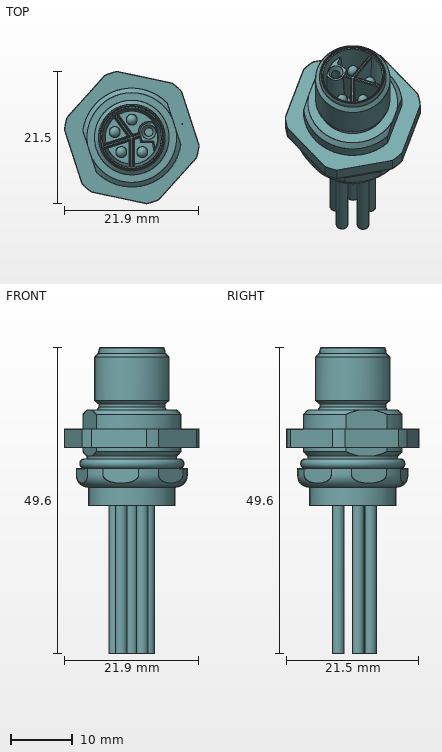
import cadquery as cq
import math

Z_TOP = 25.6
Z_FLANGE_BOTTOM = 2.95
Z_FLANGE_TOP = 6.0
Z_SEAL_TOP = 7.55
Z_BODY_BOTTOM = 8.0
Z_NUT_BOTTOM = 9.4
Z_NUT_TOP = 12.4
Z_SHOULDER = 15.5

PLUG_RADIUS = 6.05
PLUG_NOSE_RADIUS = 5.4
PLUG_RIM_RADIUS = 5.18
PLUG_RIM_STEP_RADIUS = 5.35
PLUG_RIM_STEP = 0.46
PLUG_NOSE_STEP = 0.92
PLUG_CHAMFER_END = 1.55
PLUG_LENGTH = 8.55
UNDERCUT_TOP = 9.15
UNDERCUT_RADIUS = 5.35
UNDERCUT_FLARE_TOP = 9.65
UNDERCUT_FOOT_RADIUS = 5.6

BODY_RADIUS = 8.02
BODY_CHAMFER = 0.75
NECK_RADIUS = BODY_RADIUS - BODY_CHAMFER
BODY_FLAT_DISTANCE = 7.2
SLEEVE_RADIUS = 7.0

HEX_ANGLE = 18.0
HEX_HALF_ANGLE = 30.0
NUT_FLAT_DISTANCE = 10.0
NUT_CORNER_RADIUS = 11.0
FLANGE_FLAT_DISTANCE = 8.5
FLANGE_RADIUS = 9.0
FLANGE_FILLET = 2.0

SEAL_RADIUS = 8.45
SEAL_ROUNDING = 0.76

RIM_INNER_RADIUS = 5.03
RIM_DEPTH = 0.27
MOUTH_RADIUS = 4.8
MOUTH_DEPTH = 0.95
SOCKET_FLOOR_RADIUS = 4.3
SOCKET_DEPTH = 8.0
Z_FLOOR = Z_TOP - SOCKET_DEPTH
Z_INSERT = Z_TOP - MOUTH_DEPTH
INSERT_HEIGHT = Z_INSERT - Z_FLOOR
RIB_BASE_WIDTH = 0.85
RIB_EDGE_WIDTH = 0.55
RIB_TOP_WIDTH = 0.25
RIB_BEVEL_HEIGHT = 0.15
RIB_LENGTH = 5.0
RIB_ANGLES = (126.0, 198.0, 270.0)

CONTACT_COUNT = 5
CONTACT_CIRCLE_RADIUS = 2.9
PIN_RADIUS = 0.88
PIN_TIP_DEPTH = 3.5
WIRE_RADIUS = 0.95
WIRE_LENGTH = 24.0

GUIDE_RADIUS = 1.7
GUIDE_ARC_MIDDLE_ANGLE = 135.0
GUIDE_DRAFT = 2.0
GUIDE_OUTER_RADIUS = 4.2
GUIDE_LOWER_Y = -2.2
GUIDE_NOTCH_X = 3.6
GUIDE_STEP_X = 3.35
GUIDE_INNER_X = 1.45
EARTH_HOLE_RADIUS = 0.7
FUNNEL_RADIUS = 1.15
FUNNEL_DEPTH = 0.8


def polar(radius, angle):
    a = math.radians(angle)
    return radius * math.cos(a), radius * math.sin(a)


def disc(radius, z_bottom, z_top):
    return cq.Workplane("XY").workplane(offset=z_bottom).circle(radius).extrude(z_top - z_bottom)


def hexagon(flat_distance, z_bottom, z_top):
    corner_diameter = 2 * flat_distance / math.cos(math.radians(HEX_HALF_ANGLE))
    prism = cq.Workplane("XY").polygon(6, corner_diameter).extrude(z_top - z_bottom)
    return prism.rotate((0, 0, 0), (0, 0, 1), HEX_ANGLE - HEX_HALF_ANGLE).translate((0, 0, z_bottom))


def plug():
    profile = [
        (0, Z_SHOULDER),
        (UNDERCUT_FOOT_RADIUS, Z_SHOULDER),
        (UNDERCUT_RADIUS, Z_TOP - UNDERCUT_FLARE_TOP),
        (UNDERCUT_RADIUS, Z_TOP - UNDERCUT_TOP),
        (PLUG_RADIUS, Z_TOP - PLUG_LENGTH),
        (PLUG_RADIUS, Z_TOP - PLUG_CHAMFER_END),
        (PLUG_NOSE_RADIUS, Z_TOP - PLUG_NOSE_STEP),
        (PLUG_RIM_STEP_RADIUS, Z_TOP - PLUG_RIM_STEP),
        (PLUG_RIM_RADIUS, Z_TOP),
        (0, Z_TOP),
    ]
    return cq.Workplane("XZ").polyline(profile).close().revolve(360, (0, 0, 0), (0, 1, 0))


def body():
    thread = disc(BODY_RADIUS, Z_BODY_BOTTOM, Z_SHOULDER).faces("<Z or >Z").chamfer(BODY_CHAMFER)
    height = Z_SHOULDER - Z_BODY_BOTTOM
    flats = (
        cq.Workplane("XY")
        .rect(2 * BODY_FLAT_DISTANCE, 3 * BODY_RADIUS)
        .extrude(height)
        .rotate((0, 0, 0), (0, 0, 1), HEX_ANGLE)
        .translate((0, 0, Z_BODY_BOTTOM))
    )
    neck = disc(NECK_RADIUS, Z_FLANGE_TOP, Z_BODY_BOTTOM)
    sleeve = disc(SLEEVE_RADIUS, 0, Z_FLANGE_BOTTOM)
    return thread.intersect(flats).union(neck).union(sleeve)


def nut():
    corners = disc(NUT_CORNER_RADIUS, Z_NUT_BOTTOM, Z_NUT_TOP)
    return hexagon(NUT_FLAT_DISTANCE, Z_NUT_BOTTOM, Z_NUT_TOP).intersect(corners)


def flange():
    blank = disc(FLANGE_RADIUS, Z_FLANGE_BOTTOM, Z_FLANGE_TOP).faces("<Z").edges().fillet(FLANGE_FILLET)
    return blank.intersect(hexagon(FLANGE_FLAT_DISTANCE, Z_FLANGE_BOTTOM, Z_FLANGE_TOP))


def seal():
    return disc(SEAL_RADIUS, Z_FLANGE_TOP, Z_SEAL_TOP).edges().fillet(SEAL_ROUNDING)


def socket():
    rim = disc(RIM_INNER_RADIUS, Z_TOP - RIM_DEPTH, Z_TOP)
    mouth = disc(MOUTH_RADIUS, Z_INSERT, Z_TOP)
    return insert_space().union(mouth).union(rim)


def insert_space():
    profile = [
        (0, Z_FLOOR),
        (SOCKET_FLOOR_RADIUS, Z_FLOOR),
        (MOUTH_RADIUS, Z_INSERT),
        (0, Z_INSERT),
    ]
    return cq.Workplane("XZ").polyline(profile).close().revolve(360, (0, 0, 0), (0, 1, 0))


def rib(angle, length):
    section = [
        (-RIB_BASE_WIDTH / 2, Z_FLOOR),
        (RIB_BASE_WIDTH / 2, Z_FLOOR),
        (RIB_EDGE_WIDTH / 2, Z_INSERT - RIB_BEVEL_HEIGHT),
        (RIB_TOP_WIDTH / 2, Z_INSERT),
        (-RIB_TOP_WIDTH / 2, Z_INSERT),
        (-RIB_EDGE_WIDTH / 2, Z_INSERT - RIB_BEVEL_HEIGHT),
    ]
    straight = cq.Workplane("YZ").polyline(section).close().extrude(length)
    return straight.rotate((0, 0, 0), (0, 0, 1), angle)


def earth_guide():
    x, y = polar(CONTACT_CIRCLE_RADIUS, HEX_ANGLE)
    outer_x = MOUTH_RADIUS + GUIDE_RADIUS
    arc_start = (x - GUIDE_RADIUS, y)
    arc_middle = polar(GUIDE_RADIUS, GUIDE_ARC_MIDDLE_ANGLE)
    outline = (
        cq.Workplane("XY")
        .workplane(offset=Z_FLOOR)
        .moveTo(*arc_start)
        .threePointArc((x + arc_middle[0], y + arc_middle[1]), (x, y + GUIDE_RADIUS))
        .lineTo(outer_x, y + GUIDE_RADIUS)
        .lineTo(outer_x, GUIDE_LOWER_Y)
        .lineTo(GUIDE_NOTCH_X, GUIDE_LOWER_Y)
        .lineTo(GUIDE_STEP_X, y - GUIDE_RADIUS)
        .lineTo(GUIDE_INNER_X, y - GUIDE_RADIUS)
        .close()
    )
    block = outline.extrude(INSERT_HEIGHT, taper=GUIDE_DRAFT)
    block = block.intersect(disc(GUIDE_OUTER_RADIUS, Z_FLOOR, Z_INSERT))
    hole = disc(EARTH_HOLE_RADIUS, Z_FLOOR, Z_INSERT)
    funnel = cq.Workplane(cq.Solid.makeCone(
        EARTH_HOLE_RADIUS, FUNNEL_RADIUS, FUNNEL_DEPTH, cq.Vector(0, 0, Z_INSERT - FUNNEL_DEPTH)
    ))
    return block, hole.union(funnel).translate((x, y, 0))


def insert():
    block, hole = earth_guide()
    walls = block.union(rib(HEX_ANGLE, CONTACT_CIRCLE_RADIUS))
    for angle in RIB_ANGLES:
        walls = walls.union(rib(angle, RIB_LENGTH))
    return walls.cut(hole).intersect(insert_space())


def pin():
    z_tip = Z_TOP - PIN_TIP_DEPTH
    z_round = z_tip - PIN_RADIUS
    shank = disc(PIN_RADIUS, Z_FLOOR, z_round)
    return shank.union(cq.Workplane("XY").sphere(PIN_RADIUS).translate((0, 0, z_round)))


def at_contact(shape, index):
    x, y = polar(CONTACT_CIRCLE_RADIUS, HEX_ANGLE + index * 360 / CONTACT_COUNT)
    return shape.translate((x, y, 0))


result = plug().union(body()).union(nut()).union(flange()).union(seal())
result = result.cut(socket()).union(insert())

for index in range(CONTACT_COUNT):
    result = result.union(at_contact(disc(WIRE_RADIUS, -WIRE_LENGTH, 0), index))

for index in range(1, CONTACT_COUNT):
    result = result.union(at_contact(pin(), index))